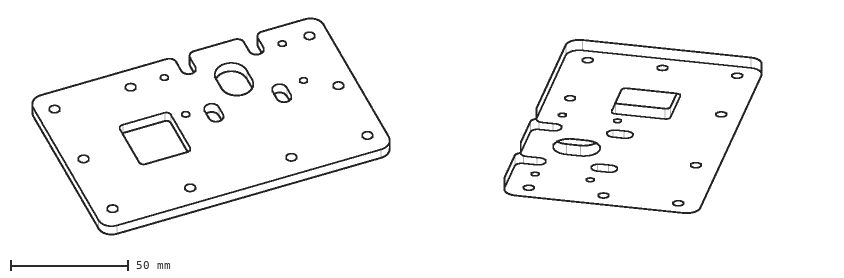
import cadquery as cq

plate_width = 85.0
plate_length = 133.0
plate_thickness = 5.0
corner_radius = 6.0

screw_diameter = 4.5
screw_x = 32.5
screw_y = 58.4
side_screw_y = 23.5
offset_screw_x = 33.2
offset_screw_y = -23.1

group_y = 18.9
pin_diameter = 3.3
pin_spacing_y = 54.0
pin_columns_x = (-screw_x, -8.5)

slot_width = 6.4
slot_length = 11.2
slot_x = -4.9
slot_spacing_y = 31.1
slot_rows_y = (group_y - slot_spacing_y / 2, group_y + slot_spacing_y / 2)

notch_end_x = -30.3
mouth_radius = 3.0

large_slot_length = 20.1
large_slot_width = 14.0
large_slot_x = -20.3

window_width = 25.5
window_height = 23.3
window_y = -25.7
window_corner_radius = 2.0


def rounded_block(width, height, radius, center_y=0):
    """Full-thickness block with rounded vertical edges."""
    block = cq.Workplane("XY").center(0, center_y).rect(width, height).extrude(plate_thickness)
    return block.edges("|Z").fillet(radius)


def holes(points, diameter):
    return cq.Workplane("XY").pushPoints(points).circle(diameter / 2).extrude(plate_thickness)


def slots(points, length, width):
    return cq.Workplane("XY").pushPoints(points).slot2D(length, width).extrude(plate_thickness)


def edge_notch(center_y):
    """Round-ended notch that flares out to the left edge with rounded lips."""
    edge_x = -plate_width / 2
    half_width = slot_width / 2
    lip_x = edge_x + mouth_radius
    arc_x = notch_end_x - half_width
    lip_y = half_width + mouth_radius
    return (
        cq.Workplane("XY")
        .center(0, center_y)
        .moveTo(edge_x, lip_y)
        .radiusArc((lip_x, half_width), -mouth_radius)
        .lineTo(arc_x, half_width)
        .threePointArc((notch_end_x, 0), (arc_x, -half_width))
        .lineTo(lip_x, -half_width)
        .radiusArc((edge_x, -lip_y), -mouth_radius)
        .close()
        .extrude(plate_thickness)
    )


screw_points = [(x, y) for x in (-screw_x, 0, screw_x) for y in (-screw_y, screw_y)]
screw_points += [
    (screw_x, side_screw_y),
    (-screw_x, -side_screw_y),
    (offset_screw_x, offset_screw_y),
]
pin_points = [(x, group_y + side * pin_spacing_y / 2) for x in pin_columns_x for side in (-1, 1)]
slot_points = [(slot_x, y) for y in slot_rows_y]

result = rounded_block(plate_width, plate_length, corner_radius)
result = result.cut(holes(screw_points, screw_diameter))
result = result.cut(holes(pin_points, pin_diameter))
result = result.cut(slots(slot_points, slot_length, slot_width))
result = result.cut(slots([(large_slot_x, group_y)], large_slot_length, large_slot_width))
result = result.cut(rounded_block(window_width, window_height, window_corner_radius, window_y))
for row_y in slot_rows_y:
    result = result.cut(edge_notch(row_y))